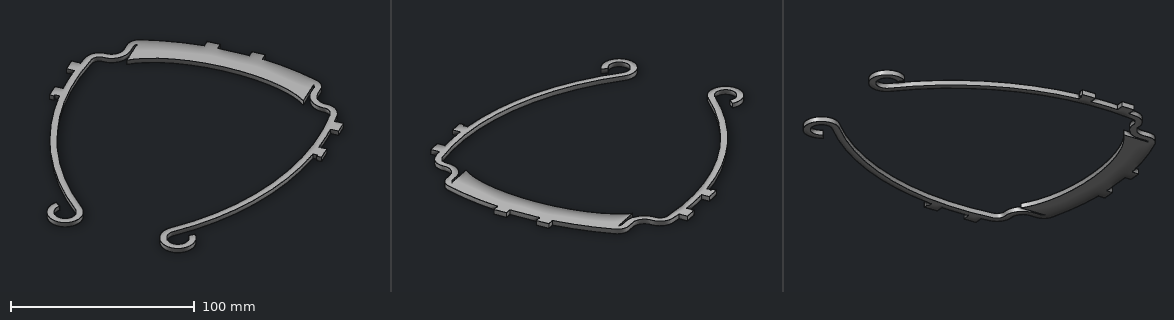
import cadquery as cq
import math

thickness = 3.0
half_width = 79.47
half_length = 91.77
band = 4.0
half_band = band / 2

visor_top_radius = 161.0
visor_top_apex = 88.5
visor_bottom_apex = 73.1
visor_bottom_half_axis_x = 58.5
visor_bottom_half_axis_y = 25.4

hook_radius = 8.0
arm_radius = 152.6
shoulder_radius = 7.0
neck_radius = 9.3
corner_radius = 5.4

hook_x = -32.9
hook_y = -half_length + hook_radius + half_band
hook_tip_angle = math.radians(140)
arm_left_x = -73.0
neck_x = -54.6
neck_y = 68.9
corner_x = neck_x + corner_radius

visor_half_width = -corner_x * visor_top_radius / (visor_top_radius - half_band - corner_radius)

top_tab_inner_x = 9.2
top_tab_outer_x = 17.0
top_seat_y = 88.0
upper_tab_y_min = 40.7
upper_tab_y_max = 48.5
lower_tab_y_min = 15.0
lower_tab_y_max = 23.4
relief_depth = 1.1
relief_outer_x = 76.6


def toward(start, end, distance):
    """Point at a distance from start in the direction of end."""
    span = math.dist(start, end)
    return tuple(s + (e - s) * distance / span for s, e in zip(start, end))


def on_circle(center, radius, angle):
    return (center[0] + radius * math.cos(angle), center[1] + radius * math.sin(angle))


def angle_of(center, point):
    return math.atan2(point[1] - center[1], point[0] - center[0])


def arc_middle(center, start, end):
    """Middle of the shorter arc from start to end."""
    chord_middle = ((start[0] + end[0]) / 2, (start[1] + end[1]) / 2)
    return toward(center, chord_middle, math.dist(center, start))


def box(x_min, x_max, y_min, y_max):
    size_x = x_max - x_min
    size_y = y_max - y_min
    return cq.Workplane("XY").box(size_x, size_y, thickness, centered=False).translate((x_min, y_min, 0))


def both_sides(shape):
    return shape.union(shape.mirror("YZ"))


def make_visor():
    top_center_y = visor_top_apex - visor_top_radius
    top_end_y = top_center_y + math.sqrt(visor_top_radius**2 - visor_half_width**2)
    bottom_y = visor_bottom_apex - visor_bottom_half_axis_y
    plate = (
        cq.Workplane("XY")
        .moveTo(-visor_half_width, bottom_y)
        .lineTo(-visor_half_width, top_end_y)
        .threePointArc((0, visor_top_apex), (visor_half_width, top_end_y))
        .lineTo(visor_half_width, bottom_y)
        .close()
        .extrude(thickness)
    )
    opening = (
        cq.Workplane("XY")
        .center(0, bottom_y)
        .ellipse(visor_bottom_half_axis_x, visor_bottom_half_axis_y)
        .extrude(thickness)
    )
    return plate.cut(opening)


def make_left_arm():
    """Band swept along tangent arcs from the visor rim down to the hook tip."""
    arm_x = arm_left_x + arm_radius
    hook = (hook_x, hook_y)
    arm = (arm_x, hook_y + math.sqrt((arm_radius + hook_radius) ** 2 - (arm_x - hook_x) ** 2))

    neck = (neck_x - neck_radius, neck_y)
    to_arm = arm_radius - shoulder_radius
    to_neck = shoulder_radius + neck_radius
    span = math.dist(neck, arm)
    turn = math.acos((to_neck**2 + span**2 - to_arm**2) / (2 * to_neck * span))
    shoulder = on_circle(neck, to_neck, angle_of(neck, arm) - turn)

    rim = (0, visor_top_apex - visor_top_radius)
    rim_radius = visor_top_radius - half_band
    corner = (corner_x, rim[1] + math.sqrt((rim_radius - corner_radius) ** 2 - corner_x**2))

    rim_joint = toward(rim, corner, rim_radius)
    corner_end = (neck_x, corner[1])
    neck_start = (neck_x, neck_y)
    shoulder_start = toward(neck, shoulder, neck_radius)
    arm_start = toward(arm, shoulder, arm_radius)
    hook_start = toward(hook, arm, hook_radius)
    hook_end = on_circle(hook, hook_radius, hook_tip_angle)
    hook_sweep = 2 * math.pi - hook_tip_angle + angle_of(hook, hook_start)
    hook_middle = on_circle(hook, hook_radius, hook_tip_angle + hook_sweep / 2)

    path = (
        cq.Workplane("XY")
        .moveTo(*rim_joint)
        .threePointArc(arc_middle(corner, rim_joint, corner_end), corner_end)
        .lineTo(*neck_start)
        .threePointArc(arc_middle(neck, neck_start, shoulder_start), shoulder_start)
        .threePointArc(arc_middle(shoulder, shoulder_start, arm_start), arm_start)
        .threePointArc(arc_middle(arm, arm_start, hook_start), hook_start)
        .threePointArc(hook_middle, hook_end)
    )
    outward = (corner[0] - rim[0], corner[1] - rim[1], 0)
    tangent = (-outward[1], outward[0], 0)
    section = cq.Plane(origin=(*rim_joint, 0), xDir=outward, normal=tangent)
    arm_band = cq.Workplane(section).rect(band, 2 * thickness).sweep(path)
    return arm_band.intersect(box(-half_width, 0, -half_length, half_length))


def make_top_tab():
    return box(-top_tab_outer_x, -top_tab_inner_x, top_seat_y - band, half_length)


def make_side_tab(y_min, y_max):
    return box(-half_width, arm_left_x, y_min, y_max)


def make_lower_tab():
    """Lower side tab whose underside steps up beside the arm."""
    step_y = lower_tab_y_min + relief_depth
    foot = box(-half_width, -relief_outer_x, lower_tab_y_min, step_y)
    return make_side_tab(step_y, lower_tab_y_max).union(foot)


visor = make_visor()
arm = make_left_arm()
body = visor.union(both_sides(arm))
body = body.cut(box(-top_tab_inner_x, top_tab_inner_x, top_seat_y, half_length))
body = body.union(both_sides(make_top_tab()))
body = body.union(both_sides(make_side_tab(upper_tab_y_min, upper_tab_y_max)))
body = body.union(both_sides(make_lower_tab()))
result = body